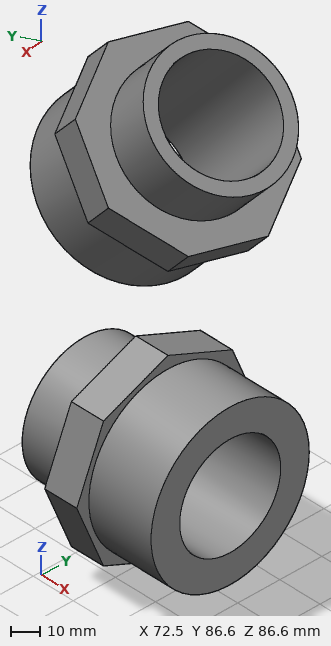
import cadquery as cq

narrow_diameter = 59.6
wide_diameter = 75.2
bore_diameter = 48.0
collar_sides = 8
collar_across_corners = 86.6

narrow_length = 25.5
collar_length = 16.0
total_length = 72.5

collar_start = narrow_length
wide_start = collar_start + collar_length
wide_length = total_length - wide_start


def section_plane(x):
    """Workplane across the pipe axis at the given X, facing +X."""
    return cq.Workplane("YZ", origin=(x, 0, 0))


narrow_spigot = section_plane(0).circle(narrow_diameter / 2).extrude(narrow_length)

collar = (
    section_plane(collar_start)
    .polygon(collar_sides, collar_across_corners)
    .extrude(collar_length)
)

wide_spigot = section_plane(wide_start).circle(wide_diameter / 2).extrude(wide_length)

bore = section_plane(0).circle(bore_diameter / 2).extrude(total_length)

result = narrow_spigot.union(collar).union(wide_spigot).cut(bore)